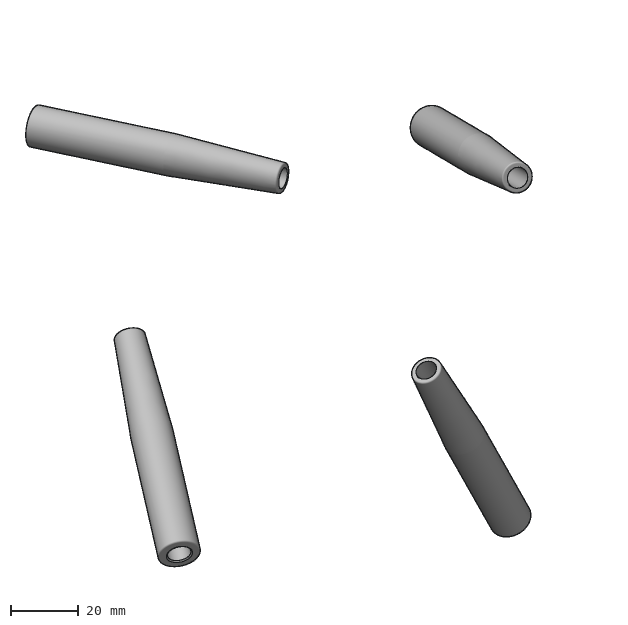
import cadquery as cq

length = 80.0
body_diameter = 12.7
tip_diameter = 9.4
straight_length = 44.4
edge_radius = 0.5

through_diameter = 6.3
socket_diameter = 7.0
socket_depth = 20.0
mouth_chamfer = 0.4

body_radius = body_diameter / 2
tip_radius = tip_diameter / 2


def tapered_body():
    """Straight handle that tapers towards +X, with both end rims rounded."""
    profile = (
        cq.Workplane("XY")
        .lineTo(0, body_radius)
        .lineTo(straight_length, body_radius)
        .lineTo(length, tip_radius)
        .lineTo(length, 0)
        .close()
    )
    body = profile.revolve(360, (0, 0, 0), (1, 0, 0))
    return body.faces("<X or >X").edges().fillet(edge_radius)


def stepped_bore():
    """Through hole with a wider socket and a chamfered mouth at the -X end."""
    through_hole = cq.Workplane("YZ").circle(through_diameter / 2).extrude(length)
    socket = cq.Workplane("YZ").circle(socket_diameter / 2).extrude(socket_depth)
    mouth = cq.Workplane(
        cq.Solid.makeCone(
            socket_diameter / 2 + mouth_chamfer,
            socket_diameter / 2,
            mouth_chamfer,
            dir=cq.Vector(1, 0, 0),
        )
    )
    return through_hole.union(socket).union(mouth)


result = tapered_body().cut(stepped_bore())